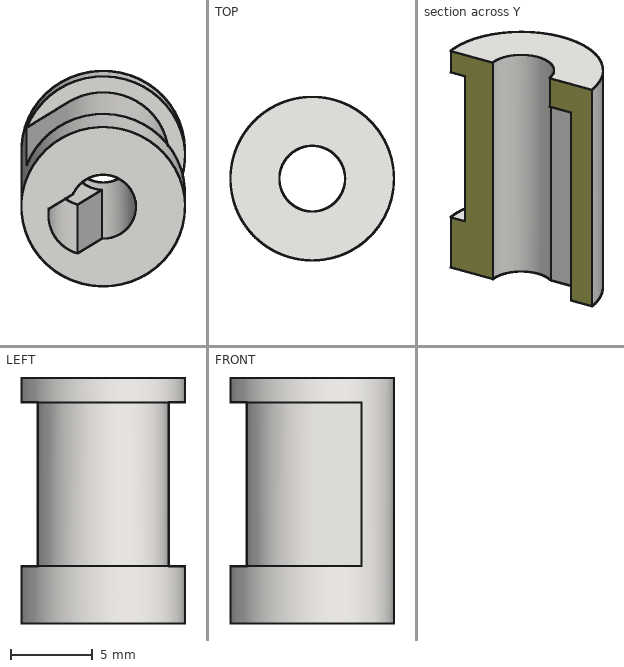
import cadquery as cq
import math

outer_diameter = 10.0
total_height = 15.0
bore_diameter = 4.0
neck_diameter = 8.0
bottom_flange_height = 3.5
top_flange_height = 1.5

keyway_width = 3.3
keyway_height = 13.0
keyway_end_radius = 2.5
keyway_reach = 3.5

neck_height = total_height - bottom_flange_height - top_flange_height


def make_neck():
    """Neck between the flanges: half-round on the -X side, flat-sided towards +X."""
    neck_radius = neck_diameter / 2
    return (
        cq.Workplane("XY", origin=(0, 0, bottom_flange_height))
        .moveTo(outer_diameter / 2, neck_radius)
        .lineTo(0, neck_radius)
        .threePointArc((-neck_radius, 0), (0, -neck_radius))
        .lineTo(outer_diameter / 2, -neck_radius)
        .close()
        .extrude(neck_height)
    )


def make_relief():
    """Material removed around the neck, between the two flanges."""
    blank = (
        cq.Workplane("XY", origin=(0, 0, bottom_flange_height))
        .circle(outer_diameter / 2)
        .extrude(neck_height)
    )
    return blank.cut(make_neck())


def make_keyway():
    """Straight-sided slot from the bore axis towards +X, with a shallow arc as its end."""
    half_width = keyway_width / 2
    end_center_x = keyway_reach - keyway_end_radius
    corner_x = end_center_x + math.sqrt(keyway_end_radius**2 - half_width**2)
    return (
        cq.Workplane("XY")
        .moveTo(0, -half_width)
        .lineTo(corner_x, -half_width)
        .threePointArc((keyway_reach, 0), (corner_x, half_width))
        .lineTo(0, half_width)
        .close()
        .extrude(keyway_height)
    )


body = cq.Workplane("XY").circle(outer_diameter / 2).extrude(total_height)
bore = cq.Workplane("XY").circle(bore_diameter / 2).extrude(total_height)

result = body.cut(make_relief()).cut(bore).cut(make_keyway())